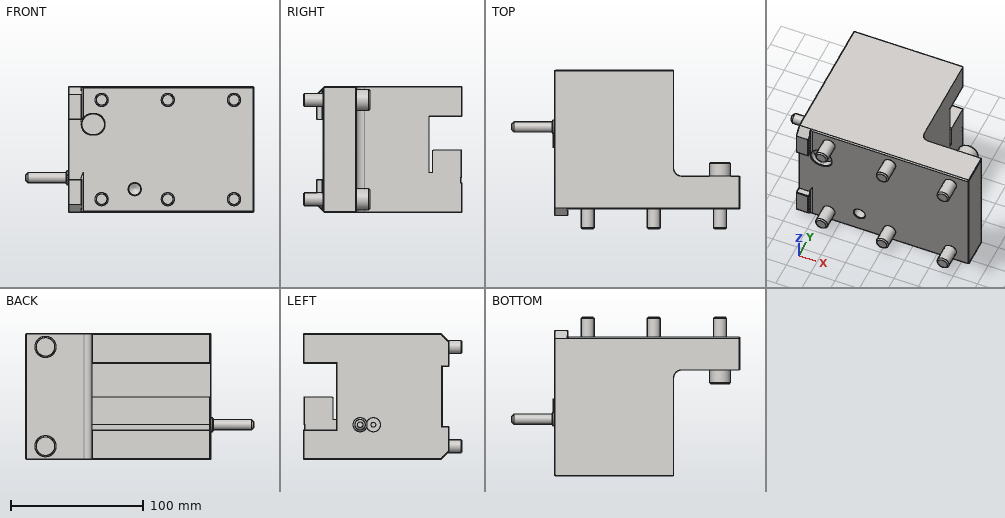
import cadquery as cq
import math

BODY_LENGTH = 140.0
BODY_DEPTH = 105.0
BODY_HEIGHT = 95.0
BLOCK_LENGTH = 90.0
ARM_DEPTH = 25.0
INNER_CORNER_RADIUS = 6.0
EDGE_CHAMFER = 0.5
FRONT_CHAMFER = 1.0

KEY_LENGTH = 10.0
KEY_PROTRUSION = 5.0
KEY_GAP_BOTTOM = 24.8
KEY_GAP_TOP = BODY_HEIGHT - KEY_GAP_BOTTOM

GROOVE_LEFT = 9.5
GROOVE_RIGHT = 11.2
GROOVE_DEPTH = 0.9
GROOVE_KEY_RISE = 0.9
GROOVE_SHORT_END = 26.5
GROOVE_LONG_END = 30.3

SLOT_DEPTH = 25.0
SLOT_BOTTOM = 22.4
SLOT_TOP = BODY_HEIGHT - SLOT_BOTTOM

INSERT_SETBACK = 1.0
INSERT_TOP = 47.2
INSERT_BACK_GAP = 0.5
INSERT_FOOT_BACK_GAP = 1.0
INSERT_FOOT_TOP = 26.5
INSERT_WALL_GAP = 2.4
INSERT_LEDGE_HEIGHT = 30.2
INSERT_CHAMFER = 0.9

SCREW_DIAMETER = 10.0
SCREW_PROTRUSION = 15.0
SCREW_CHAMFER = 1.0
SCREW_PITCH_X = 50.0
SCREW_FIRST_X = 25.0
SCREW_EDGE_Z = 10.0
SCREW_COLUMNS = 3
HEAD_DIAMETER = 16.0
HEAD_HEIGHT = 10.3
HEAD_CHAMFER = 1.0

HOLE_RIM_CHAMFER = 0.5
RIM_TAPER = 45
SLOT_HOLE_X = 18.6
SLOT_HOLE_Z = 66.5
SLOT_HOLE_LENGTH = 18.1
SLOT_HOLE_WIDTH = 16.4
SLOT_HOLE_DEPTH = 5.2
DRILL_X = 50.0
DRILL_Z = 17.5
DRILL_DIAMETER = 10.0
DRILL_DEPTH = 15.0
DRILL_POINT_ANGLE = 118

PIN_Y = 62.0
PIN_Z = 26.2
PIN_DIAMETER = 8.0
PIN_LENGTH = 32.4
PIN_TIP_LENGTH = 1.9
PIN_TIP_DIAMETER = 4.1
CAP_DIAMETER = 10.7
CAP_THICKNESS = 1.0
COLLAR_LENGTH = 2.0
PIN_TO_CAP = 10.0
CAP_Y = PIN_Y - PIN_TO_CAP
HEX_SIDES = 6
HEX_ACROSS_CORNERS = 4.0


def box(x0, x1, y0, y1, z0, z1):
    """Box between two opposite corners."""
    return cq.Workplane("XY").box(x1 - x0, y1 - y0, z1 - z0, centered=False).translate((x0, y0, z0))


def make_body():
    """L-shaped block with the back slot and both keys, front corners bevelled."""
    body = (
        cq.Workplane("XY")
        .polyline([
            (0, -KEY_PROTRUSION),
            (KEY_LENGTH, -KEY_PROTRUSION),
            (KEY_LENGTH, 0),
            (BODY_LENGTH, 0),
            (BODY_LENGTH, ARM_DEPTH),
            (BLOCK_LENGTH, ARM_DEPTH),
            (BLOCK_LENGTH, BODY_DEPTH),
            (0, BODY_DEPTH),
        ])
        .close()
        .extrude(BODY_HEIGHT)
    )
    inner_corner = (BLOCK_LENGTH, ARM_DEPTH, BODY_HEIGHT / 2)
    body = body.edges(cq.selectors.NearestToPointSelector(inner_corner)).fillet(INNER_CORNER_RADIUS)
    body = body.cut(box(0, KEY_LENGTH, -KEY_PROTRUSION, 0, KEY_GAP_BOTTOM, KEY_GAP_TOP))
    body = body.cut(box(0, BLOCK_LENGTH, BODY_DEPTH - SLOT_DEPTH, BODY_DEPTH, SLOT_BOTTOM, SLOT_TOP))
    return body.cut(front_corner_cut())


def front_corner_cut():
    """Bevel along the top and bottom front edges, carried across the keys in the same plane."""
    reach = KEY_PROTRUSION + FRONT_CHAMFER
    upper = (
        cq.Workplane("YZ")
        .polyline([
            (FRONT_CHAMFER, BODY_HEIGHT),
            (-KEY_PROTRUSION, BODY_HEIGHT - reach),
            (-KEY_PROTRUSION, BODY_HEIGHT),
        ])
        .close()
        .extrude(BODY_LENGTH)
    )
    return upper.union(mirrored_in_height(upper))


def mirrored_in_height(shape):
    """Copy of a shape mirrored about the mid-height plane."""
    return shape.mirror("XY", (0, 0, BODY_HEIGHT / 2))


def break_edges(body):
    """Chamfer the rims of the left, right and back faces and the right and inner rims of the keys."""
    for face in ("<X", ">X", ">Y"):
        body = body.faces(face).chamfer(EDGE_CHAMFER)
    key_fronts = body.faces("<Y")
    rims = key_fronts.edges("|Z").edges(">X")
    for z in (KEY_GAP_BOTTOM, KEY_GAP_TOP):
        rim_middle = (KEY_LENGTH / 2, -KEY_PROTRUSION, z)
        rims = rims.add(key_fronts.edges(cq.selectors.NearestToPointSelector(rim_middle)))
    return rims.chamfer(EDGE_CHAMFER)


def relief_grooves():
    """Undercut beside each key that runs out past it with a slanted end."""
    section = (
        cq.Workplane("XY")
        .polyline([
            (GROOVE_RIGHT, 0),
            (GROOVE_LEFT, GROOVE_DEPTH),
            (GROOVE_LEFT, -GROOVE_KEY_RISE),
            (GROOVE_RIGHT, -GROOVE_KEY_RISE),
        ])
        .close()
        .extrude(GROOVE_LONG_END)
    )
    runout = (
        cq.Workplane("XZ")
        .polyline([
            (GROOVE_LEFT, 0),
            (GROOVE_RIGHT, 0),
            (GROOVE_RIGHT, GROOVE_LONG_END),
            (GROOVE_LEFT, GROOVE_SHORT_END),
        ])
        .close()
        .extrude(GROOVE_DEPTH + GROOVE_KEY_RISE, both=True)
    )
    lower = section.intersect(runout)
    return lower.union(mirrored_in_height(lower))


def front_holes():
    """Blind slotted hole and conical-bottomed drilled hole in the front face, rims broken."""
    def slot_outline(inset):
        length = SLOT_HOLE_LENGTH - 2 * inset
        width = SLOT_HOLE_WIDTH - 2 * inset
        return cq.Workplane("XZ").center(SLOT_HOLE_X, SLOT_HOLE_Z).slot2D(length, width)

    rim = slot_outline(0).extrude(-HOLE_RIM_CHAMFER, taper=RIM_TAPER)
    slotted = slot_outline(HOLE_RIM_CHAMFER).extrude(-SLOT_HOLE_DEPTH).union(rim)

    rim_radius = DRILL_DIAMETER / 2
    bore_radius = rim_radius - HOLE_RIM_CHAMFER
    point_depth = bore_radius / math.tan(math.radians(DRILL_POINT_ANGLE / 2))
    drilled = (
        cq.Workplane("XY")
        .polyline([
            (0, 0),
            (rim_radius, 0),
            (bore_radius, HOLE_RIM_CHAMFER),
            (bore_radius, DRILL_DEPTH),
            (0, DRILL_DEPTH + point_depth),
        ])
        .close()
        .revolve(360, (0, 0), (0, 1))
        .translate((DRILL_X, 0, DRILL_Z))
    )
    return slotted.union(drilled)


def screw_ends():
    """Screw ends in front of the plate, and the heads of the column behind the arm."""
    last_column = SCREW_COLUMNS - 1
    screws = cq.Workplane("XY")
    for z in (SCREW_EDGE_Z, BODY_HEIGHT - SCREW_EDGE_Z):
        for column in range(SCREW_COLUMNS):
            centre = cq.Workplane("XZ").center(SCREW_FIRST_X + column * SCREW_PITCH_X, z)
            end = centre.circle(SCREW_DIAMETER / 2).extrude(SCREW_PROTRUSION)
            screws = screws.union(end.faces("<Y").chamfer(SCREW_CHAMFER))
            if column == last_column:
                head = centre.workplane(offset=-ARM_DEPTH).circle(HEAD_DIAMETER / 2).extrude(-HEAD_HEIGHT)
                screws = screws.union(head.faces(">Y").chamfer(HEAD_CHAMFER))
    return screws


def make_insert():
    """Block on the slot floor, clear of the slot wall above its ledge."""
    back = BODY_DEPTH - INSERT_BACK_GAP
    foot_back = BODY_DEPTH - INSERT_FOOT_BACK_GAP
    slot_wall = BODY_DEPTH - SLOT_DEPTH
    front = slot_wall + INSERT_WALL_GAP
    return (
        cq.Workplane("YZ")
        .polyline([
            (slot_wall, SLOT_BOTTOM),
            (foot_back, SLOT_BOTTOM),
            (foot_back, INSERT_FOOT_TOP),
            (back, INSERT_FOOT_TOP),
            (back, INSERT_TOP),
            (front + INSERT_CHAMFER, INSERT_TOP),
            (front, INSERT_TOP - INSERT_CHAMFER),
            (front, INSERT_LEDGE_HEIGHT),
            (slot_wall, INSERT_LEDGE_HEIGHT),
        ])
        .close()
        .extrude(BLOCK_LENGTH - INSERT_SETBACK)
        .translate((INSERT_SETBACK, 0, 0))
    )


def make_pin():
    """Collared pin with a tapered tip, pointing away from the left face."""
    cap_radius = CAP_DIAMETER / 2
    pin_radius = PIN_DIAMETER / 2
    return (
        cq.Workplane("XY")
        .polyline([
            (0, 0),
            (0, cap_radius),
            (-CAP_THICKNESS, cap_radius),
            (-COLLAR_LENGTH, pin_radius),
            (PIN_TIP_LENGTH - PIN_LENGTH, pin_radius),
            (-PIN_LENGTH, PIN_TIP_DIAMETER / 2),
            (-PIN_LENGTH, 0),
        ])
        .close()
        .revolve(360, (0, 0), (1, 0))
        .translate((0, PIN_Y, PIN_Z))
    )


def make_cap():
    """Flat screw cap with a hexagon socket beside the pin."""
    face = cq.Workplane("YZ").center(CAP_Y, PIN_Z)
    cap = face.circle(CAP_DIAMETER / 2).extrude(-CAP_THICKNESS)
    return cap.cut(face.polygon(HEX_SIDES, HEX_ACROSS_CORNERS).extrude(-CAP_THICKNESS))


body = break_edges(make_body())
body = body.cut(relief_grooves()).cut(front_holes())
result = body.union(make_insert()).union(screw_ends()).union(make_cap()).union(make_pin())